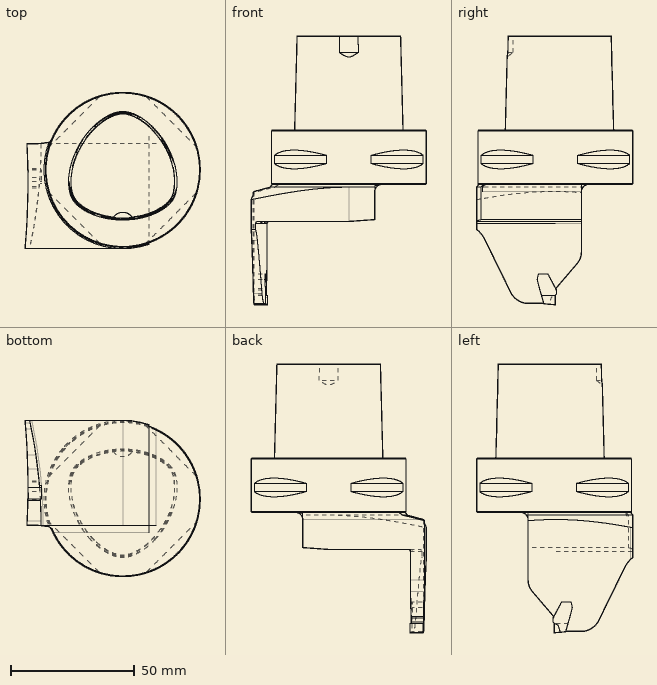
import cadquery as cq
import math


SHANK_HEIGHT = 38.2
SHANK_BASE_RADIUS = 22.0
SHANK_TOP_RADIUS = 21.1
LOBE_HEIGHT = 1.6
OUTLINE_POINTS = 60

NOTCH_RADIUS = 4.6
NOTCH_AXIS_Y = -21.8
NOTCH_DEPTH = 6.7
NOTCH_POINT = 3.5

FLANGE_RADIUS = 63.0 / 2
FLANGE_HEIGHT = 22.0
FLANGE_CHAMFER = 0.3
GROOVE_Z = -11.9
GROOVE_FLOOR_DISTANCE = 27.7
GROOVE_FLOOR_WIDTH = 3.3
GROOVE_FLANK_ANGLE = 30.0
GROOVE_COUNT = 4

BLOCK_RADIUS = 32.02
BLOCK_SIDE = 10.6
BLOCK_BOTTOM = -37.1
BOTTOM_RISE = 0.8
NECK_HEIGHT = 1.1
CONE_SLOPE = math.tan(math.radians(15))
CONE_OUTER_RADIUS = 54.5
WALL_FILLET = 2.8

TIP_Z = SHANK_HEIGHT - 109.1
BLADE_BOTTOM = TIP_Z + 0.7
CORNER_X = -39.66
CORNER_FLAT = 1.04
OUTER_FACE_MID = (-38.5, -2.2)
OUTER_FACE_BACK = (-39.0, BLOCK_SIDE)
INNER_FACE_FRONT = (-37.9, -BLOCK_RADIUS)
INNER_FACE_MID = (-34.6, -13.1)
INNER_FACE_BACK = (-33.2, BLOCK_SIDE)
BLADE_ROOT_FILLET = 0.9

INSERT_LIP_X = -33.0
INSERT_LIP_TOP = -67.0
RELIEF_DEPTH = 0.3

EDGE_TOLERANCE = 0.1
MARGIN = 5.5


def lobed_wire(mean_radius, z):
    """Closed curve of constant width with one lobe pointing to +Y."""
    points = []
    for i in range(OUTLINE_POINTS):
        a = 2 * math.pi * i / OUTLINE_POINTS
        support = mean_radius - LOBE_HEIGHT * math.sin(3 * a)
        slope = -3 * LOBE_HEIGHT * math.cos(3 * a)
        x = support * math.cos(a) - slope * math.sin(a)
        y = support * math.sin(a) + slope * math.cos(a)
        points.append(cq.Vector(x, y, z))
    return cq.Wire.assembleEdges([cq.Edge.makeSpline(points, periodic=True)])


def make_shank():
    base = lobed_wire(SHANK_BASE_RADIUS, 0)
    top = lobed_wire(SHANK_TOP_RADIUS, SHANK_HEIGHT)
    shank = cq.Workplane(cq.Solid.makeLoft([base, top], True))
    shoulder_z = SHANK_HEIGHT - NOTCH_DEPTH
    notch = (
        cq.Workplane("XZ")
        .moveTo(0, SHANK_HEIGHT + MARGIN)
        .lineTo(NOTCH_RADIUS, SHANK_HEIGHT + MARGIN)
        .lineTo(NOTCH_RADIUS, shoulder_z)
        .lineTo(0, shoulder_z - NOTCH_POINT)
        .close()
        .revolve(360, (0, 0, 0), (0, 1, 0))
        .translate((0, NOTCH_AXIS_Y, 0))
    )
    return shank.cut(notch)


def make_flange():
    flange = (
        cq.Workplane("XY")
        .circle(FLANGE_RADIUS)
        .extrude(-FLANGE_HEIGHT)
        .faces("<Z or >Z")
        .chamfer(FLANGE_CHAMFER)
    )
    reach = FLANGE_RADIUS + MARGIN
    half_floor = GROOVE_FLOOR_WIDTH / 2
    flank_run = (reach - GROOVE_FLOOR_DISTANCE) * math.tan(math.radians(GROOVE_FLANK_ANGLE))
    groove = (
        cq.Workplane("XZ")
        .moveTo(GROOVE_FLOOR_DISTANCE, GROOVE_Z - half_floor)
        .lineTo(GROOVE_FLOOR_DISTANCE, GROOVE_Z + half_floor)
        .lineTo(reach, GROOVE_Z + half_floor + flank_run)
        .lineTo(reach, GROOVE_Z - half_floor - flank_run)
        .close()
        .extrude(FLANGE_RADIUS, both=True)
    )
    step = 360 / GROOVE_COUNT
    for i in range(GROOVE_COUNT):
        flange = flange.cut(groove.rotate((0, 0, 0), (0, 0, 1), step * (i + 0.5)))
    return flange


def plan_start():
    """Front wall corner, corner flat and curved outer face shared by block and blade."""
    return (
        cq.Workplane("XY")
        .moveTo(CORNER_X, -BLOCK_RADIUS)
        .lineTo(CORNER_X, -BLOCK_RADIUS + CORNER_FLAT)
        .threePointArc(OUTER_FACE_MID, OUTER_FACE_BACK)
    )


def cone_envelope():
    """Space below the conical top of the block, with the small neck at the flange."""
    neck_z = -FLANGE_HEIGHT - NECK_HEIGHT
    cone_drop = (CONE_OUTER_RADIUS - BLOCK_RADIUS) * CONE_SLOPE
    return (
        cq.Workplane("XZ")
        .moveTo(0, -FLANGE_HEIGHT)
        .lineTo(FLANGE_RADIUS - FLANGE_CHAMFER, -FLANGE_HEIGHT)
        .lineTo(BLOCK_RADIUS, neck_z)
        .lineTo(CONE_OUTER_RADIUS, neck_z - cone_drop)
        .lineTo(CONE_OUTER_RADIUS, TIP_Z)
        .lineTo(0, TIP_Z)
        .close()
        .revolve(360, (0, 0, 0), (0, 1, 0))
    )


def wall_fillet_section(plane):
    """Concave fillet between a block wall and the underside of the flange."""
    bulge = WALL_FILLET * (1 - math.sqrt(0.5))
    return (
        cq.Workplane(plane)
        .moveTo(BLOCK_SIDE, -FLANGE_HEIGHT)
        .lineTo(BLOCK_SIDE + WALL_FILLET, -FLANGE_HEIGHT)
        .threePointArc(
            (BLOCK_SIDE + bulge, -FLANGE_HEIGHT - bulge),
            (BLOCK_SIDE, -FLANGE_HEIGHT - WALL_FILLET),
        )
        .close()
    )


def make_block():
    arc_end_y = -math.sqrt(BLOCK_RADIUS**2 - BLOCK_SIDE**2)
    half_angle = math.asin(BLOCK_SIDE / BLOCK_RADIUS) / 2
    arc_mid = (BLOCK_RADIUS * math.sin(half_angle), -BLOCK_RADIUS * math.cos(half_angle))
    block = (
        plan_start()
        .lineTo(BLOCK_SIDE, BLOCK_SIDE)
        .lineTo(BLOCK_SIDE, arc_end_y)
        .threePointArc(arc_mid, (0, -BLOCK_RADIUS))
        .close()
        .extrude(-BLOCK_BOTTOM - FLANGE_HEIGHT)
        .translate((0, 0, BLOCK_BOTTOM))
    )
    underside = (
        cq.Workplane("XZ")
        .moveTo(0, BLOCK_BOTTOM)
        .lineTo(BLOCK_SIDE, BLOCK_BOTTOM + BOTTOM_RISE)
        .lineTo(BLOCK_SIDE, BLOCK_BOTTOM)
        .close()
        .extrude(BLOCK_RADIUS + MARGIN, both=True)
    )
    right_fillet = (
        wall_fillet_section("XZ")
        .extrude(-arc_end_y + BLOCK_SIDE)
        .translate((0, BLOCK_SIDE, 0))
        .intersect(cq.Workplane("XY").circle(FLANGE_RADIUS).extrude(BLOCK_BOTTOM))
    )
    back_fillet = (
        wall_fillet_section("YZ")
        .extrude(BLOCK_SIDE - OUTER_FACE_BACK[0])
        .translate((OUTER_FACE_BACK[0], 0, 0))
    )
    return block.cut(underside).union(right_fillet).union(back_fillet)


def blade_plan(height):
    return (
        plan_start()
        .lineTo(*INNER_FACE_BACK)
        .threePointArc(INNER_FACE_MID, INNER_FACE_FRONT)
        .close()
        .extrude(height)
        .translate((0, 0, TIP_Z))
    )


def along_x(profile):
    """Extrude a YZ profile through the whole thickness of the blade."""
    return profile.extrude(2 * MARGIN).translate((CORNER_X - MARGIN / 2, 0, 0))


def make_blade():
    profile = (
        cq.Workplane("YZ")
        .moveTo(BLOCK_SIDE, -FLANGE_HEIGHT)
        .lineTo(BLOCK_SIDE, -49.5)
        .threePointArc((10.1, -51.9), (9.0, -54.0))
        .lineTo(0, -64.5)
        .lineTo(0, BLADE_BOTTOM)
        .lineTo(-12.3, BLADE_BOTTOM)
        .threePointArc((-15.6, -68.8), (-18.0, -66.2))
        .lineTo(-28.5, -44.8)
        .threePointArc((-29.6, -42.9), (-31.0, -41.1))
        .lineTo(-BLOCK_RADIUS, -40.3)
        .lineTo(-BLOCK_RADIUS, -FLANGE_HEIGHT)
        .close()
    )
    return blade_plan(-FLANGE_HEIGHT - TIP_Z).intersect(along_x(profile))


def insert_profile():
    return (
        cq.Workplane("YZ")
        .moveTo(-3.1, -58.4)
        .lineTo(-6.9, -58.4)
        .lineTo(-7.4, -60.5)
        .lineTo(-6.7, -63.6)
        .lineTo(-4.7, -70.5)
        .lineTo(0, TIP_Z)
        .lineTo(0, INSERT_LIP_TOP)
        .lineTo(0.4, -66.5)
        .lineTo(0.4, -64.9)
        .close()
    )


def make_insert():
    body = along_x(insert_profile())
    insert = blade_plan(-BLOCK_BOTTOM).intersect(body)
    lip_height = INSERT_LIP_TOP - TIP_Z
    lip_space = cq.Workplane("XY").box(
        INSERT_LIP_X - INNER_FACE_MID[0], MARGIN * 2, lip_height, centered=(False, True, False)
    ).translate((INNER_FACE_MID[0], 0, TIP_Z))
    insert = insert.union(lip_space.intersect(body))
    relief = (
        cq.Workplane("YZ")
        .moveTo(MARGIN, INSERT_LIP_TOP)
        .lineTo(0, INSERT_LIP_TOP)
        .lineTo(-1.6, -67.8)
        .lineTo(-2.6, TIP_Z)
        .lineTo(MARGIN, TIP_Z)
        .close()
        .extrude(MARGIN)
        .translate((OUTER_FACE_MID[0] + RELIEF_DEPTH - MARGIN, 0, 0))
    )
    return insert.cut(relief)


def make_holder():
    head = make_block().union(make_blade())
    root = cq.selectors.BoxSelector(
        (CORNER_X, -BLOCK_RADIUS + MARGIN, BLOCK_BOTTOM - EDGE_TOLERANCE),
        (INNER_FACE_BACK[0] + MARGIN, BLOCK_SIDE - MARGIN, BLOCK_BOTTOM + EDGE_TOLERANCE),
    )
    head = head.edges(root).fillet(BLADE_ROOT_FILLET)
    head = head.intersect(cone_envelope())
    holder = make_flange().union(make_shank()).union(head)
    return holder.cut(along_x(insert_profile()))


holder = make_holder()
insert = make_insert()
result = cq.Compound.makeCompound([holder.val(), insert.val()])